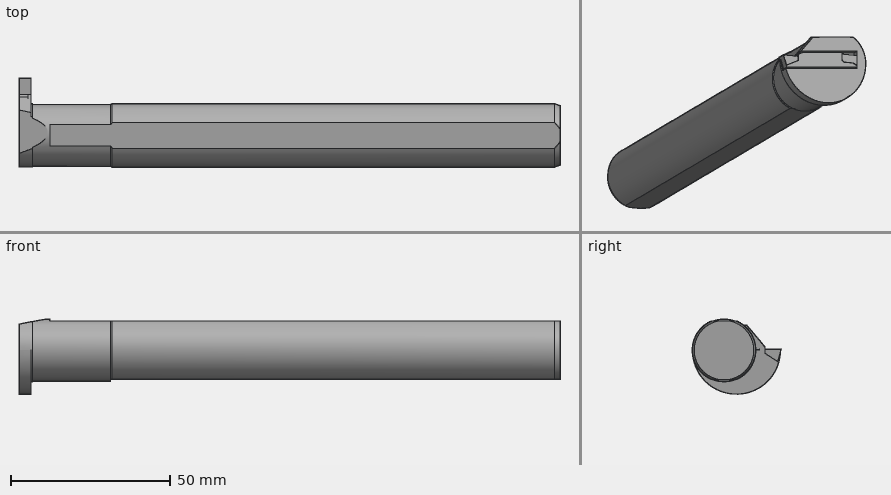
import cadquery as cq
import math

total_length = 170.0
overall_height = 23.6
shank_radius = 10.0
neck_radius = 19.5 / 2
neck_end = 28.7
step_length = 0.5
end_chamfer_length = 1.9
end_chamfer_depth = 0.7

flat_height = 9.2
top_flat_start = 9.7

collar_length = 4.2
collar_lip = 0.2
collar_radius = neck_radius + collar_lip
rim_thickness = 3.7
rim_radius = overall_height - neck_radius
rim_center_y = rim_radius - collar_radius

chip_flat_angle = 50.0
chip_flat_distance = 10.5
crown_height = 7.6
crown_side_slope = math.tan(math.radians(5.5))
crown_rise_slope = 0.24

insert_thickness = 2.7
insert_tilt = math.tan(math.radians(5.2))
insert_rear_y = -7.0
insert_bottom = -2.0
insert_height = 4.8
pocket_clearance = 0.42
rear_tip_height = 2.4
tip_y = 18.0
tip_base_y = 16.8
tip_height = 0.3
tip_length = 5.1
tip_corner_drop = 1.4
tip_land_height = 3.2
rear_land_height = 2.5
rear_corner = 0.7
land_depth = 0.2
shoulder_y = 11.2
reach = 34.0


def lower_face(y):
    return insert_bottom - y * insert_tilt


def upper_face(y):
    return lower_face(y) + insert_height


def chip_flat_z(y):
    angle = math.radians(chip_flat_angle)
    return chip_flat_distance / math.cos(angle) - y * math.tan(angle)


def extrude_yz(points, start, length):
    """Prism with a YZ outline, running in +X from start."""
    return cq.Workplane("YZ", origin=(start, 0, 0)).polyline(points).close().extrude(length)


def cylinder(radius, start, end, center_y=0.0):
    section = cq.Workplane("YZ", origin=(start, 0, 0)).center(center_y, 0)
    return section.circle(radius).extrude(end - start)


def make_bar_blank():
    profile = [
        (0, 0),
        (0, neck_radius),
        (neck_end, neck_radius),
        (neck_end + step_length, shank_radius),
        (total_length - end_chamfer_length, shank_radius),
        (total_length, shank_radius - end_chamfer_depth),
        (total_length, 0),
    ]
    blank = cq.Workplane("XY").polyline(profile).close().revolve(360, (0, 0, 0), (1, 0, 0))
    for start, side in ((top_flat_start, 1), (neck_end, -1)):
        waste = cq.Workplane("XY").box(total_length, 2 * reach, reach, centered=(False, True, False))
        base = flat_height if side > 0 else -flat_height - reach
        blank = blank.cut(waste.translate((start, 0, base)))
    return blank


def make_head():
    """Round collar with an offset rim that carries the insert; the rim's upper half is removed."""
    rim = cylinder(rim_radius, 0, rim_thickness, rim_center_y)
    upper_half = [
        (-reach, 0),
        (shoulder_y, 0),
        (shoulder_y, tip_height),
        (reach, tip_height),
        (reach, reach),
        (-reach, reach),
    ]
    rim = rim.cut(extrude_yz(upper_half, 0, rim_thickness))
    web = [
        (0, 0),
        (tip_y - tip_length, tip_height),
        (tip_y - tip_length, chip_flat_z(tip_y - tip_length)),
        (0, chip_flat_z(0)),
    ]
    web = extrude_yz(web, 0, rim_thickness).intersect(cylinder(rim_radius, 0, rim_thickness, rim_center_y))
    return cylinder(collar_radius, 0, collar_length).union(rim).union(web)


def make_crown_waste():
    """Everything above the sloped crown, ahead of the top flat."""
    def crown_z(x, y):
        return crown_height + crown_rise_slope * x - crown_side_slope * y

    def section(y):
        points = [
            (0, y, crown_z(0, y)),
            (top_flat_start, y, crown_z(top_flat_start, y)),
            (top_flat_start, y, reach),
            (0, y, reach),
        ]
        return cq.Wire.makePolygon([cq.Vector(*p) for p in points], close=True)

    return cq.Workplane(cq.Solid.makeLoft([section(-reach), section(reach)], True))


def make_insert_envelope():
    """Tilted bar stepped down at both ends to the cutting tips."""
    wall_y = tip_y - tip_length
    rear_wall_y = insert_rear_y + tip_length
    body = [
        (insert_rear_y, lower_face(insert_rear_y)),
        (tip_base_y, lower_face(tip_base_y)),
        (wall_y, tip_height),
        (wall_y, chip_flat_z(wall_y)),
        (shoulder_y, upper_face(shoulder_y)),
        (rear_wall_y, upper_face(rear_wall_y)),
        (rear_wall_y, rear_tip_height),
        (insert_rear_y, rear_tip_height),
    ]
    tip = [
        (tip_base_y, lower_face(tip_base_y)),
        (tip_y, tip_height),
        (wall_y, tip_height),
        (wall_y, tip_height - tip_corner_drop),
    ]
    return extrude_yz(body, 0, insert_thickness).union(extrude_yz(tip, 0, rim_thickness))


def make_pocket():
    """Tilted slot that is taller than the insert; the insert bears on its end and side walls."""
    outline = [
        (insert_rear_y, lower_face(insert_rear_y) - pocket_clearance),
        (reach, lower_face(reach) - pocket_clearance),
        (reach, upper_face(reach) + pocket_clearance),
        (insert_rear_y, upper_face(insert_rear_y) + pocket_clearance),
    ]
    return extrude_yz(outline, 0, insert_thickness)


def make_side_lands():
    """Shallow relief on the exposed side of both insert tips."""
    inner_y = insert_rear_y + tip_length
    rear_floor = rear_tip_height - rear_land_height
    front = [
        (tip_y - tip_length, tip_height),
        (tip_y, tip_height),
        (tip_base_y, tip_height - tip_land_height),
        (tip_y - tip_length, tip_height - tip_corner_drop),
    ]
    rear = [
        (inner_y, upper_face(inner_y)),
        (insert_rear_y, upper_face(insert_rear_y)),
        (insert_rear_y, rear_floor - rear_corner),
        (insert_rear_y + 2 * rear_corner, rear_floor),
        (inner_y - rear_corner, rear_floor),
        (inner_y, rear_floor + rear_corner),
    ]
    return extrude_yz(front, 0, land_depth).union(extrude_yz(rear, 0, land_depth))


insert_envelope = make_insert_envelope()
holder = make_bar_blank().union(make_head()).cut(make_crown_waste()).cut(make_pocket()).cut(insert_envelope)
insert = insert_envelope.cut(make_side_lands())

result = cq.Compound.makeCompound([holder.val(), insert.val()])